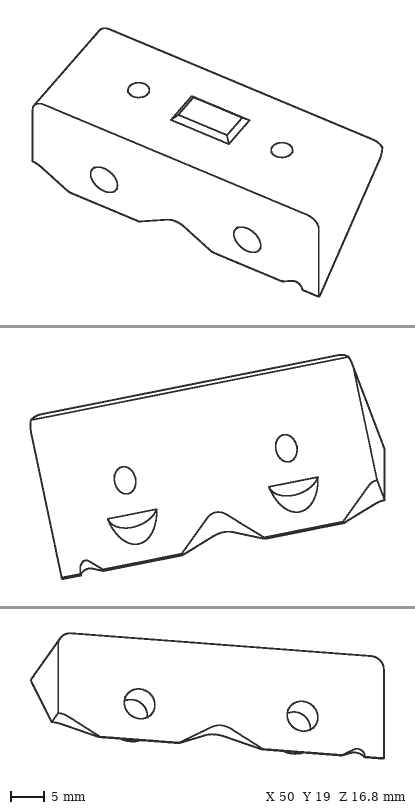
import cadquery as cq
import math

LENGTH = 50.0
DEPTH = 19.0
BODY_HEIGHT = 16.0
CORNER_RADIUS = 2.0
FOOT_DEPTH = 0.35
BACK_LIP = 0.85

NOTCH_PITCH = LENGTH / 2
NOTCH_HALF_WIDTH = 6.375
NOTCH_RADIUS = 3.0
FLANK_ANGLE = math.radians(30)
RELIEF_RADIUS = 1.15

HOLE_OFFSET = LENGTH / 4
POCKET_DIAMETER = 4.7
POCKET_DEPTH = 5.0
POCKET_HEIGHT = 5.65
BOSS_DIAMETER = 7.9
BOSS_DEPTH = 6.0
SCREW_DIAMETER = 3.2
TOP_CENTER_Y = 10.0

KEY_LENGTH = 10.1
KEY_WIDTH = 6.0
KEY_HEIGHT = 0.8
KEY_INSET = 0.8

SIDES = (-HOLE_OFFSET, HOLE_OFFSET)


def wedge():
    """Block with a sloping back and two rounded upper ends."""
    side_profile = [
        (0, 0),
        (FOOT_DEPTH, 0),
        (DEPTH, BODY_HEIGHT - BACK_LIP),
        (DEPTH, BODY_HEIGHT),
        (0, BODY_HEIGHT),
    ]
    prism = cq.Workplane("YZ").polyline(side_profile).close().extrude(LENGTH / 2, both=True)
    envelope = (
        cq.Workplane("XY")
        .box(LENGTH, DEPTH, BODY_HEIGHT, centered=(True, False, False))
        .edges("|Y and >Z")
        .fillet(CORNER_RADIUS)
    )
    return prism.intersect(envelope)


def through_cut(outline):
    """Run a closed outline in XZ through the full depth."""
    return outline.close().extrude(-DEPTH)


def notch(center_x):
    """V notch with 30 degree flanks tangent to a rounded peak."""
    sharp_height = NOTCH_HALF_WIDTH * math.tan(FLANK_ANGLE)
    arc_center_z = sharp_height - NOTCH_RADIUS / math.cos(FLANK_ANGLE)
    tangent_x = NOTCH_RADIUS * math.sin(FLANK_ANGLE)
    tangent_z = arc_center_z + NOTCH_RADIUS * math.cos(FLANK_ANGLE)
    return through_cut(
        cq.Workplane("XZ")
        .moveTo(center_x - NOTCH_HALF_WIDTH, 0)
        .lineTo(center_x - tangent_x, tangent_z)
        .threePointArc((center_x, arc_center_z + NOTCH_RADIUS), (center_x + tangent_x, tangent_z))
        .lineTo(center_x + NOTCH_HALF_WIDTH, 0)
    )


def relief_notch():
    """Start of the right notch, closed by an arc centred on the bottom edge."""
    start_x = NOTCH_PITCH - NOTCH_HALF_WIDTH
    arc_center_x = start_x + RELIEF_RADIUS / math.sin(FLANK_ANGLE)
    tangent_x = arc_center_x - RELIEF_RADIUS * math.sin(FLANK_ANGLE)
    tangent_z = RELIEF_RADIUS * math.cos(FLANK_ANGLE)
    return through_cut(
        cq.Workplane("XZ")
        .moveTo(start_x, 0)
        .lineTo(tangent_x, tangent_z)
        .threePointArc((arc_center_x, RELIEF_RADIUS), (arc_center_x + RELIEF_RADIUS, 0))
    )


def front_cylinder(center_x, diameter, depth):
    """Cylinder running back from the front face at pocket height."""
    return cq.Workplane("XZ").center(center_x, POCKET_HEIGHT).circle(diameter / 2).extrude(-depth)


def screw_hole(center_x):
    return cq.Workplane("XY").center(center_x, TOP_CENTER_Y).circle(SCREW_DIAMETER / 2).extrude(BODY_HEIGHT)


def key():
    """Rectangular key with bevelled sides."""
    return (
        cq.Workplane("XY", origin=(0, TOP_CENTER_Y, BODY_HEIGHT))
        .rect(KEY_LENGTH, KEY_WIDTH)
        .workplane(offset=KEY_HEIGHT)
        .rect(KEY_LENGTH - 2 * KEY_INSET, KEY_WIDTH - 2 * KEY_INSET)
        .loft(ruled=True)
    )


result = wedge().union(key())
for notch_x in (-NOTCH_PITCH, 0):
    result = result.cut(notch(notch_x))
result = result.cut(relief_notch())

for side_x in SIDES:
    result = result.union(front_cylinder(side_x, BOSS_DIAMETER, BOSS_DEPTH))
    result = result.cut(front_cylinder(side_x, POCKET_DIAMETER, POCKET_DEPTH))
    result = result.cut(screw_hole(side_x))